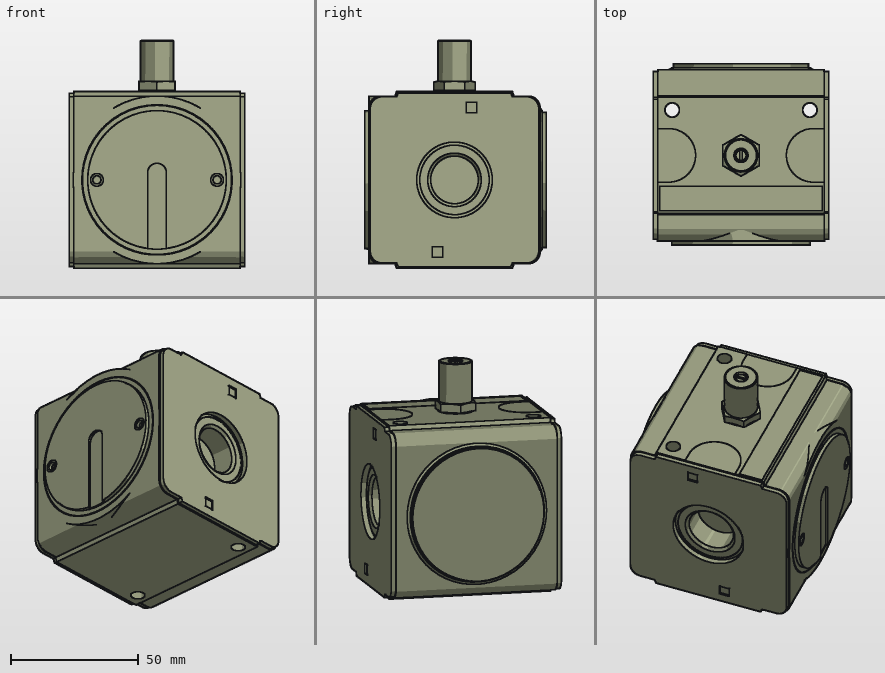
import cadquery as cq
import math


core_half_width = 32.6
core_half_depth = 33.5
deck_half_height = 34.6
shoulder_half_height = 32.8
deck_half_depth = 22.7
ramp_depth = 0.6
corner_radius = 4.7

overall_width = 68.8
cap_half_width = overall_width / 2
cap_side_inset = 0.6
cap_shoulder_inset = 0.4

face_radius = shoulder_half_height
face_root = 26.8
face_groove_radius = 29.4
face_groove_width = 0.3
face_groove_depth = 0.1

disc_radius = 27.1
disc_front = 35.15
slot_width = 7.3
slot_top = 6.5
slot_depth = 1.0
screw_spacing = 47.0
screw_head_diameter = 5.0
screw_head_recess = 0.1
screw_socket_diameter = 3.2
screw_socket_depth = 2.7

flange_diameter = 53.0
flange_back = 35.95
flange_step = 34.25
flange_cone_top_radius = 27.1
flange_cone_base_radius = 28.2

seal_groove_diameter = 29.6
seal_groove_depth = 2.3
land_diameter = 27.2
land_depth = 1.9
port_chamfer_diameter = 21.0
port_diameter = 18.6
port_depth = 12.2

pocket_size = 4.1
pocket_depth = 0.7
pocket_y = 6.7
pocket_z = 28.3

mount_hole_diameter = 5.5
mount_hole_x = 26.9
mount_hole_y = 17.75
pad_width = 21.0
pad_reach = 17.75
label_length = 63.7
label_width = 9.5
label_y = -16.9
mark_depth = 0.1

stem_top = 54.6
stem_diameter = 13.0
stem_chamfer_width = 0.45
stem_chamfer_height = 0.3
neck_diameter = 13.5
hex_flats = 14.1
hex_bottom = 35.1
hex_top = 38.6
hex_bevel_height = 0.4
stem_mouth_diameter = 5.5
stem_bore_diameter = 4.5
stem_bore_depth = 1.3
adjuster_diameter = 4.0
adjuster_recess = 0.5
adjuster_slot_width = 0.8
adjuster_slot_depth = 0.7


def cylinder_y(radius, y_start, y_end):
    """Cylinder on the knob axis between two Y positions."""
    length = y_end - y_start
    return cq.Workplane(cq.Solid.makeCylinder(radius, length, cq.Vector(0, y_start, 0), cq.Vector(0, 1, 0)))


def box_between(x_range, y_range, z_range):
    """Box spanning the given X, Y and Z ranges."""
    lengths = [end - start for start, end in (x_range, y_range, z_range)]
    corner = (x_range[0], y_range[0], z_range[0])
    return cq.Workplane("XY").box(*lengths, centered=False).translate(corner)


def housing_profile(half_width, side_inset, shoulder_inset):
    """Prism of the stepped, round-cornered profile, drawn in by the given insets."""
    deck_edge = deck_half_depth - side_inset
    shoulder_height = shoulder_half_height - shoulder_inset
    quarter = [
        (deck_edge, deck_half_height - side_inset),
        (deck_edge + ramp_depth, shoulder_height),
        (core_half_depth - side_inset, shoulder_height),
    ]
    positive_side = quarter + [(y, -z) for y, z in reversed(quarter)]
    negative_side = [(-y, -z) for y, z in positive_side]
    prism = cq.Workplane("YZ").polyline(positive_side + negative_side).close().extrude(half_width, both=True)
    return prism.edges("|X and (>Y or <Y)").fillet(corner_radius - shoulder_inset)


def make_front_face():
    face = cylinder_y(face_radius, -core_half_depth, -face_root)
    groove_floor = -core_half_depth + face_groove_depth
    groove = cylinder_y(face_groove_radius, -core_half_depth, groove_floor)
    groove_core = cylinder_y(face_groove_radius - face_groove_width, -core_half_depth, groove_floor)
    return face, groove.cut(groove_core)


def make_disc():
    disc = cylinder_y(disc_radius, -disc_front, -face_root)
    slot_radius = slot_width / 2
    slot_center = slot_top - slot_radius
    slot_floor = -disc_front + slot_depth
    slot = box_between((-slot_radius, slot_radius), (-disc_front, slot_floor), (-disc_radius, slot_center))
    slot = slot.union(cylinder_y(slot_radius, -disc_front, slot_floor).translate((0, 0, slot_center)))
    disc = disc.cut(slot)
    for side in (-1, 1):
        place = (side * screw_spacing / 2, 0, 0)
        head = cylinder_y(screw_head_diameter / 2, -disc_front, -disc_front + screw_head_recess)
        socket = cylinder_y(screw_socket_diameter / 2, -disc_front, -disc_front + screw_socket_depth)
        disc = disc.cut(head.translate(place)).cut(socket.translate(place))
    return disc


def make_flange():
    return (
        cq.Workplane("XY")
        .moveTo(0, face_root)
        .lineTo(flange_cone_base_radius, face_root)
        .lineTo(flange_cone_base_radius, core_half_depth)
        .lineTo(flange_cone_top_radius, flange_step)
        .lineTo(flange_diameter / 2, flange_step)
        .lineTo(flange_diameter / 2, flange_back)
        .lineTo(0, flange_back)
        .close()
        .revolve(360, (0, 0, 0), (0, 1, 0))
    )


def make_port():
    """Stepped bore and square pockets entering the -X end cap."""
    groove_floor = -cap_half_width + seal_groove_depth
    land = -cap_half_width + land_depth
    chamfer_end = land + (port_chamfer_diameter - port_diameter) / 2
    bore_floor = -cap_half_width + port_depth
    port = (
        cq.Workplane("XY")
        .moveTo(-cap_half_width, 0)
        .lineTo(-cap_half_width, seal_groove_diameter / 2)
        .lineTo(groove_floor, seal_groove_diameter / 2)
        .lineTo(groove_floor, land_diameter / 2)
        .lineTo(land, land_diameter / 2)
        .lineTo(land, port_chamfer_diameter / 2)
        .lineTo(chamfer_end, port_diameter / 2)
        .lineTo(bore_floor, port_diameter / 2)
        .lineTo(bore_floor, 0)
        .close()
        .revolve(360, (0, 0, 0), (1, 0, 0))
    )
    for side in (-1, 1):
        pocket = cq.Workplane("XY").box(2 * pocket_depth, pocket_size, pocket_size)
        port = port.union(pocket.translate((-cap_half_width, side * pocket_y, side * pocket_z)))
    return port


def make_deck_cuts():
    """Mounting holes, round-ended pads and the label field."""
    mark_floor = deck_half_height - mark_depth
    label = cq.Workplane("XY", origin=(0, label_y, mark_floor)).rect(label_length, label_width)
    cuts = label.extrude(mark_depth)
    pad_radius = pad_width / 2
    pad_center = pad_reach + pad_radius
    for side in (-1, 1):
        pad = (
            cq.Workplane("XY", origin=(0, 0, mark_floor))
            .moveTo(side * core_half_width, pad_radius)
            .lineTo(side * pad_center, pad_radius)
            .threePointArc((side * pad_reach, 0), (side * pad_center, -pad_radius))
            .lineTo(side * core_half_width, -pad_radius)
            .close()
            .extrude(mark_depth)
        )
        hole = (
            cq.Workplane("XY", origin=(side * mount_hole_x, mount_hole_y, -deck_half_height))
            .circle(mount_hole_diameter / 2)
            .extrude(2 * deck_half_height)
        )
        cuts = cuts.union(pad).union(hole)
    return cuts


def make_hex_nut():
    corner_diameter = hex_flats / math.cos(math.pi / 6)
    nut = cq.Workplane("XY", origin=(0, 0, hex_bottom)).polygon(6, corner_diameter)
    nut = nut.extrude(hex_top - hex_bottom).rotate((0, 0, 0), (0, 0, 1), 30)
    bevel = (
        cq.Workplane("XZ")
        .moveTo(0, hex_bottom)
        .lineTo(corner_diameter / 2, hex_bottom)
        .lineTo(corner_diameter / 2, hex_top - hex_bevel_height)
        .lineTo(neck_diameter / 2, hex_top)
        .lineTo(0, hex_top)
        .close()
        .revolve(360, (0, 0, 0), (0, 1, 0))
    )
    return nut.intersect(bevel)


def make_stem():
    neck_height = hex_bottom - deck_half_height
    neck = cq.Workplane("XY", origin=(0, 0, deck_half_height)).circle(neck_diameter / 2).extrude(neck_height)
    mouth_depth = (stem_mouth_diameter - stem_bore_diameter) / 2
    adjuster_top = stem_top - adjuster_recess
    stem_radius = stem_diameter / 2
    barrel = (
        cq.Workplane("XZ")
        .moveTo(0, hex_bottom)
        .lineTo(stem_radius, hex_bottom)
        .lineTo(stem_radius, stem_top - stem_chamfer_height)
        .lineTo(stem_radius - stem_chamfer_width, stem_top)
        .lineTo(stem_mouth_diameter / 2, stem_top)
        .lineTo(stem_bore_diameter / 2, stem_top - mouth_depth)
        .lineTo(stem_bore_diameter / 2, stem_top - stem_bore_depth)
        .lineTo(adjuster_diameter / 2, stem_top - stem_bore_depth)
        .lineTo(adjuster_diameter / 2, adjuster_top)
        .lineTo(0, adjuster_top)
        .close()
        .revolve(360, (0, 0, 0), (0, 1, 0))
    )
    slot = cq.Workplane("XY", origin=(0, 0, adjuster_top)).box(
        adjuster_slot_width, adjuster_diameter, 2 * adjuster_slot_depth
    )
    return neck.union(make_hex_nut()).union(barrel.cut(slot))


core = housing_profile(core_half_width, 0, 0)
end_caps = housing_profile(cap_half_width, cap_side_inset, cap_shoulder_inset)
front_face, front_groove = make_front_face()
port_cuts = make_port()

body = core.union(end_caps).union(front_face).cut(front_groove)
body = body.union(make_disc()).union(make_flange())
body = body.cut(port_cuts).cut(port_cuts.mirror("YZ")).cut(make_deck_cuts())
result = body.union(make_stem())